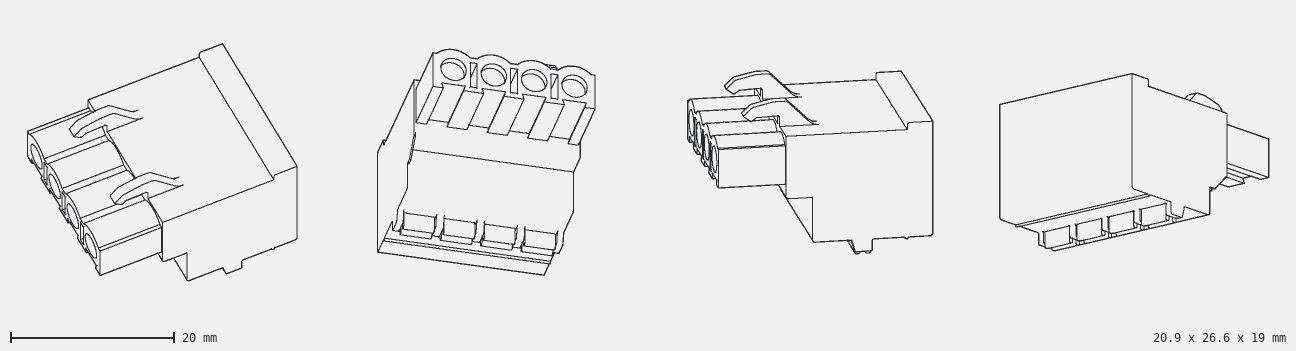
import cadquery as cq


pole_count = 4
pitch = 5.08
pole_xs = [(i - (pole_count - 1) / 2) * pitch for i in range(pole_count)]
between_xs = [x + pitch / 2 for x in pole_xs[:-1]]

body_width = 20.94
body_depth = 18.26
body_height = 13.75
rim_height = 0.9
rim_depth = 3.18
overhang_depth = 3.31
overhang_z = 5.75
edge_radius = 0.35
rim_radius = 0.3

web_thickness = 0.2
web_bottom_z = 3.62
web_flat = 1.0

embed_depth = 0.5

plug_width = 20.44
plug_length = 8.34
plug_bottom_z = 7.53
plug_shoulder_z = 12.46
bore_z = 10.43
barrel_radius = 2.91
bore_radius = 1.6
bore_depth = 1.0
slot_width = 0.86
slot_bottom_z = 8.22
slot_top_z = 11.76
notch_top_half = 1.48
notch_bottom_half = 1.28

hook_width = 1.33
hook_spacing = 11.43
hook_top_z = 16.95
hook_gap_z = 15.15
hook_relief = 0.25
hook_root_y = 5.2
hook_ramp_y = 4.12
hook_root_radius = 1.75
hook_crest_rear_y = 0.87
hook_crest_rear_radius = 0.4
hook_crest_front_y = -0.74
hook_crest_front_radius = 2.2
hook_shoulder = (-3.41, 16.36)
hook_shoulder_radius = 0.7
hook_tip = (-4.52, 15.3)
hook_barb = (-3.56, 14.54)
hook_throat = (-2.88, 15.04)

foot_height = 1.51
foot_rear_y = 10.75
foot_front_top_y = 8.2
foot_front_bottom_y = 8.62
foot_flare = 0.4
foot_radius = 0.2
foot_width = 0.96
end_foot_width = 0.8
bar_width = 3.87
bar_height = 2.06
bar_thickness = 0.65
bar_front_ys = (8.72, 10.03)
bar_radius = 0.25

ridge_y = 15.0
ridge_radius = 0.22


def box(x0, x1, y0, y1, z0, z1):
    return cq.Workplane("XY").box(x1 - x0, y1 - y0, z1 - z0, centered=False).translate((x0, y0, z0))


def extrude_along_x(sketch, x_start, width):
    """Extrude a (y, z) outline drawn on a YZ workplane over x_start .. x_start + width."""
    return sketch.extrude(width).translate((x_start, 0, 0))


def rounded_prism(corners, x_start, width):
    """Extrude a (y, z, radius) outline along X, rounding each corner that has a radius."""
    outline = cq.Workplane("YZ").polyline([(y, z) for y, z, _ in corners]).close()
    prism = extrude_along_x(outline, x_start, width)
    x_middle = x_start + width / 2
    for y, z, radius in corners:
        if radius > 0:
            corner_edge = cq.selectors.NearestToPointSelector((x_middle, y, z))
            prism = prism.edges("|X").edges(corner_edge).fillet(radius)
    return prism


def make_housing():
    rim_front_y = body_depth - rim_depth
    rim_top_z = body_height + rim_height
    outline = (
        cq.Workplane("YZ")
        .moveTo(overhang_depth, overhang_z)
        .lineTo(overhang_depth, edge_radius)
        .radiusArc((overhang_depth + edge_radius, 0), -edge_radius)
        .lineTo(body_depth - edge_radius, 0)
        .radiusArc((body_depth, edge_radius), -edge_radius)
        .lineTo(body_depth, rim_top_z)
        .lineTo(rim_front_y + rim_radius, rim_top_z)
        .radiusArc((rim_front_y, rim_top_z - rim_radius), -rim_radius)
        .lineTo(rim_front_y, body_height)
        .lineTo(0, body_height)
        .lineTo(0, overhang_z + edge_radius)
        .radiusArc((edge_radius, overhang_z), -edge_radius)
        .close()
    )
    return extrude_along_x(outline, -body_width / 2, body_width)


def make_end_web():
    outline = cq.Workplane("YZ").polyline([
        (0, overhang_z + edge_radius),
        (0, overhang_z),
        (overhang_depth - web_flat, web_bottom_z),
        (overhang_depth, web_bottom_z),
        (overhang_depth, overhang_z + edge_radius),
    ]).close()
    return extrude_along_x(outline, -body_width / 2, web_thickness)


def make_plug():
    half_width = plug_width / 2
    plug = box(-half_width, half_width, -plug_length, 0, plug_bottom_z, plug_shoulder_z)
    front = cq.Workplane("XZ", origin=(0, -plug_length, 0))
    bore_centres = [(x, bore_z) for x in pole_xs]
    for x in pole_xs:
        plug = plug.union(front.center(x, bore_z).circle(barrel_radius).extrude(-plug_length))
    plug = plug.intersect(box(-half_width, half_width, -plug_length, 0, plug_bottom_z, body_height))
    plug = plug.cut(front.pushPoints(bore_centres).circle(bore_radius).extrude(-bore_depth))
    for x in between_xs:
        slot_left = x - slot_width / 2
        slot_right = x + slot_width / 2
        plug = plug.cut(box(slot_left, slot_right, -plug_length, 0, slot_bottom_z, slot_top_z))
    for x in pole_xs:
        notch = front.polyline([
            (x - notch_top_half, slot_bottom_z),
            (x + notch_top_half, slot_bottom_z),
            (x + notch_bottom_half, plug_bottom_z),
            (x - notch_bottom_half, plug_bottom_z),
        ]).close()
        plug = plug.cut(notch.extrude(-plug_length))
    return plug


def make_hook(x):
    root_z = body_height - embed_depth
    corners = [
        (0, root_z, 0),
        (hook_root_y, root_z, 0),
        (hook_root_y, body_height, 0),
        (hook_ramp_y, body_height, hook_root_radius),
        (hook_crest_rear_y, hook_top_z, hook_crest_rear_radius),
        (hook_crest_front_y, hook_top_z, hook_crest_front_radius),
        (*hook_shoulder, hook_shoulder_radius),
        (*hook_tip, 0),
        (*hook_barb, 0),
        (*hook_throat, 0),
        (-hook_relief, hook_gap_z, 0),
        (0, hook_gap_z - hook_relief, 0),
    ]
    return rounded_prism(corners, x - hook_width / 2, hook_width)


def make_foot(x_start, width):
    corners = [
        (foot_rear_y + foot_flare, embed_depth, 0),
        (foot_rear_y + foot_flare, 0, 0),
        (foot_rear_y, 0, foot_radius),
        (foot_rear_y, -foot_height, foot_radius),
        (foot_front_bottom_y, -foot_height, foot_radius),
        (foot_front_top_y, 0, foot_radius),
        (foot_front_top_y - foot_flare, 0, 0),
        (foot_front_top_y - foot_flare, embed_depth, 0),
    ]
    return rounded_prism(corners, x_start, width)


def make_bar(x, front_y):
    bar = box(x - bar_width / 2, x + bar_width / 2, front_y, front_y + bar_thickness, -bar_height, embed_depth)
    return bar.faces("<Z").edges("|X").fillet(bar_radius)


def make_ridge():
    ridge = cq.Workplane("YZ").center(ridge_y, 0).circle(ridge_radius)
    return extrude_along_x(ridge, -body_width / 2, body_width)


result = make_housing().union(make_end_web()).union(make_plug()).union(make_ridge())

for hook_x in (-hook_spacing / 2, hook_spacing / 2):
    result = result.union(make_hook(hook_x))

result = result.union(make_foot(-body_width / 2, end_foot_width))
result = result.union(make_foot(body_width / 2 - end_foot_width, end_foot_width))
for foot_x in between_xs:
    result = result.union(make_foot(foot_x - foot_width / 2, foot_width))

for pole_x in pole_xs:
    for bar_front_y in bar_front_ys:
        result = result.union(make_bar(pole_x, bar_front_y))